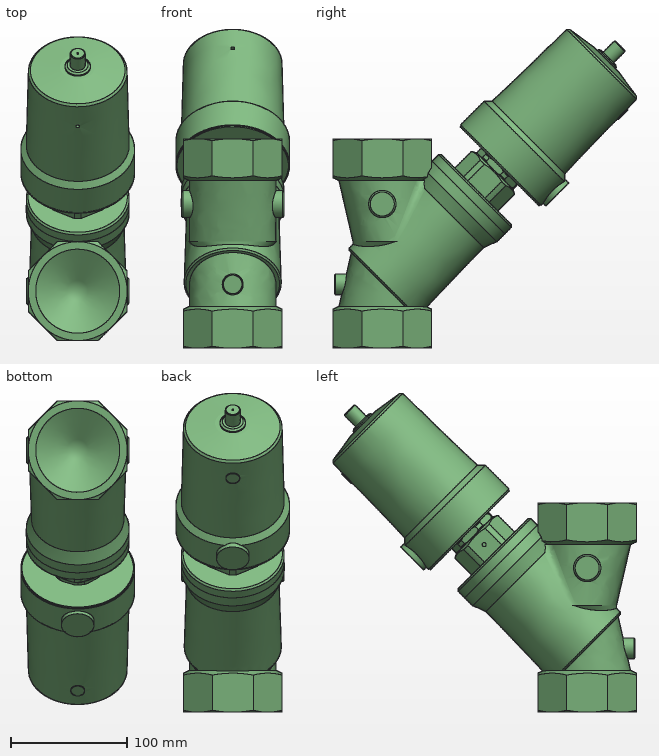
import cadquery as cq
import math


RUN_LENGTH = 180.0
END_FLATS = 85.0
END_CORNER_RADIUS = END_FLATS / 2 / math.cos(math.pi / 8)
NECK_RADIUS = 37.3
NECK_END_Z = 54.0
WAIST_FRONT_REACH = 25.2
WAIST_HALF_DEPTH = (NECK_RADIUS + WAIST_FRONT_REACH) / 2
WAIST_CENTER_Y = NECK_RADIUS - WAIST_HALF_DEPTH
WAIST_Z = 1.5
SKIRT_HEIGHT = 5.0
SKIRT_HALF_WIDTH = 33.0
END_CHAMFER_SLOPE = 0.47
BORE_DIAMETER = 72.23
BORE_DEPTH = 31.0
BORE_TIP_DEPTH = 21.0

SIDE_BOSS_Z = 33.9
SIDE_BOSS_DIAMETER = 23.5
SIDE_BOSS_REACH = 44.2
SIDE_BOSS_CHAMFER = 1.4
FRONT_BOSS_Z = -35.2
FRONT_BOSS_DIAMETER = 18.0
FRONT_BOSS_REACH = 41.2
FRONT_BOSS_CHAMFER = 1.0

BRANCH_TILT = 45.0
BRANCH_Z = -34.5

SEAT_RADIUS = 41.8
SEAT_CHAMFER = 1.5
BRANCH_TOP_RADIUS = 39.8
FLARE_START = 83.5
FLARE_END = 95.0
FLANGE_RADIUS = 44.3
BODY_TOP = 104.7
NECK_FILLET = 6.5

BONNET_FLANGE_TOP = 114.3
BONNET_CHAMFER = 1.6
BONNET_HEX_FLATS = 48.0
BONNET_HEX_RADIUS = 26.2
BONNET_TOP = 136.8
BONNET_HEX_TOP_RADIUS = 22.5
BONNET_HEX_CHAMFER = 2.2
BONNET_HOLE_DIAMETER = 3.5
BONNET_HOLE_DEPTH = 5.0
BONNET_HOLE_HEIGHT = 125.2

LOCK_NUT_FLATS = 41.0
LOCK_NUT_RADIUS = 22.2
LOCK_NUT_CHAMFER = 1.0
LOCK_NUT_TURN = -8.0

BASE_BOTTOM = 142.6
BASE_RADIUS = 48.0
CAP_BOTTOM = 144.0
CAP_RIM_RADIUS = 49.0
CAP_RIM_TOP = 172.7
CAP_WALL_START = 177.7
CAP_WALL_RADIUS = 44.3
CAP_TOP_WALL_RADIUS = 42.5
CAP_EDGE = 266.6
CAP_CONE_RADIUS = 40.7
CAP_CONE_START = 268.5
CAP_FLAT_RADIUS = 15.0
CAP_TOP = 272.4
RIM_PORT_DIAMETER = 28.0
RIM_PORT_REACH = 52.2
RIM_PORT_HEIGHT = 160.5
WALL_PORT_DIAMETER = 12.0
WALL_PORT_REACH = 43.7
WALL_PORT_HEIGHT = 249.0
VENT_DIAMETER = 3.0
VENT_DEPTH = 3.0
VENT_HEIGHT = 243.2

COLLAR_DIAMETER = 22.0
COLLAR_TOP_DIAMETER = 18.0
COLLAR_HEIGHT = 2.5
PIN_DIAMETER = 13.0
PIN_TOP = 289.2
PIN_CHAMFER = 0.7
PIN_DIMPLE_DIAMETER = 1.5
PIN_DIMPLE_DEPTH = 1.0


def turned(*profile):
    """Solid of revolution about the local Z axis from (radius, height) points."""
    points = [*profile, (0, profile[-1][1])]
    if profile[0][0] > 0:
        points.append((0, profile[0][1]))
    return cq.Workplane("XZ").polyline(points).close().revolve(360, (0, 0, 0), (0, 1, 0))


def prism(sides, flats, bottom, top, turn=0.0):
    """Regular prism with flats facing X before it is turned about Z."""
    corners = flats / math.cos(math.pi / sides)
    blank = cq.Workplane("XY").workplane(offset=bottom).polygon(sides, corners).extrude(top - bottom)
    return blank.rotate((0, 0, 0), (0, 0, 1), 180 / sides + turn)


def on_branch(part):
    """Tilt a part drawn along Z onto the branch axis."""
    return part.rotate((0, 0, 0), (1, 0, 0), -BRANCH_TILT).translate((0, 0, BRANCH_Z))


def cross_boss(direction, diameter, height, start, reach):
    """Cylinder along Y, on the side given by the sign of direction."""
    plane = cq.Plane(origin=(0, direction * start, height), xDir=(1, 0, 0), normal=(0, direction, 0))
    return cq.Workplane(plane).circle(diameter / 2).extrude(reach - start)


def run_end():
    """Upper octagonal end with conical chamfers on both faces."""
    run_top = RUN_LENGTH / 2
    lower_rise = (END_CORNER_RADIUS - NECK_RADIUS) * END_CHAMFER_SLOPE
    upper_drop = (END_CORNER_RADIUS - END_FLATS / 2) * END_CHAMFER_SLOPE
    envelope = turned(
        (NECK_RADIUS, NECK_END_Z),
        (END_CORNER_RADIUS, NECK_END_Z + lower_rise),
        (END_CORNER_RADIUS, run_top - upper_drop),
        (END_FLATS / 2, run_top),
    )
    return prism(8, END_FLATS, NECK_END_Z, run_top).intersect(envelope)


def run_neck():
    """Neck that narrows from a round end to an oval waist."""
    return (
        cq.Workplane("XY").workplane(offset=WAIST_Z)
        .center(0, WAIST_CENTER_Y).ellipse(NECK_RADIUS, WAIST_HALF_DEPTH)
        .workplane(offset=NECK_END_Z - WAIST_Z)
        .center(0, -WAIST_CENTER_Y).circle(NECK_RADIUS)
        .loft(combine=True)
    )


def neck_skirt():
    """Short oval taper that carries the overhang of the upper neck down into the branch."""
    return (
        cq.Workplane("XY").workplane(offset=WAIST_Z)
        .center(0, WAIST_CENTER_Y).ellipse(NECK_RADIUS, WAIST_HALF_DEPTH)
        .workplane(offset=-SKIRT_HEIGHT).ellipse(SKIRT_HALF_WIDTH, WAIST_HALF_DEPTH)
        .loft(combine=True)
    )


def bore():
    """Threaded socket of the upper end, closed by a cone."""
    floor = RUN_LENGTH / 2 - BORE_DEPTH
    radius = BORE_DIAMETER / 2
    return turned((0, floor - BORE_TIP_DEPTH), (radius, floor), (radius, RUN_LENGTH / 2))


def make_valve_body():
    barrel = on_branch(turned(
        (SEAT_RADIUS - SEAT_CHAMFER, 0),
        (SEAT_RADIUS, SEAT_CHAMFER),
        (BRANCH_TOP_RADIUS, FLARE_START),
        (BRANCH_TOP_RADIUS, BODY_TOP),
    ))
    flange = on_branch(turned(
        (BRANCH_TOP_RADIUS, FLARE_START),
        (FLANGE_RADIUS, FLARE_END),
        (FLANGE_RADIUS, BODY_TOP),
    ))
    neck_joint = cq.selectors.BoxSelector(
        (-NECK_RADIUS, WAIST_CENTER_Y, WAIST_Z + NECK_FILLET),
        (NECK_RADIUS, NECK_RADIUS, NECK_END_Z - NECK_FILLET),
    )
    body = barrel.union(run_neck()).edges(neck_joint).fillet(NECK_FILLET).union(flange)
    body = body.union(neck_skirt())
    seat_side = on_branch(turned((2 * SEAT_RADIUS, 0), (2 * SEAT_RADIUS, RUN_LENGTH)))
    body = body.union(run_neck().mirror("XY").cut(seat_side))
    body = body.union(run_end()).union(run_end().mirror("XY"))
    side_boss = (
        cq.Workplane("YZ").center(0, SIDE_BOSS_Z).circle(SIDE_BOSS_DIAMETER / 2)
        .extrude(SIDE_BOSS_REACH, both=True)
        .faces("<X or >X").chamfer(SIDE_BOSS_CHAMFER)
    )
    front_boss = cross_boss(-1, FRONT_BOSS_DIAMETER, FRONT_BOSS_Z, 0, FRONT_BOSS_REACH)
    front_boss = front_boss.faces("<Y").chamfer(FRONT_BOSS_CHAMFER)
    body = body.union(side_boss).union(front_boss)
    return body.cut(bore()).cut(bore().mirror("XY"))


def make_bonnet():
    flange = turned(
        (FLANGE_RADIUS, BODY_TOP),
        (FLANGE_RADIUS, BONNET_FLANGE_TOP - BONNET_CHAMFER),
        (FLANGE_RADIUS - BONNET_CHAMFER, BONNET_FLANGE_TOP),
    )
    envelope = turned(
        (BONNET_HEX_RADIUS, BONNET_FLANGE_TOP),
        (BONNET_HEX_RADIUS, BONNET_TOP - BONNET_HEX_CHAMFER),
        (BONNET_HEX_TOP_RADIUS, BONNET_TOP),
    )
    hexagon = prism(6, BONNET_HEX_FLATS, BONNET_FLANGE_TOP, BONNET_TOP).intersect(envelope)
    hole = (
        cq.Workplane("YZ").workplane(offset=-BONNET_HEX_FLATS / 2)
        .center(0, BONNET_HOLE_HEIGHT).circle(BONNET_HOLE_DIAMETER / 2)
        .extrude(BONNET_HOLE_DEPTH)
    )
    return on_branch(flange.union(hexagon).cut(hole))


def make_lock_nut():
    face_radius = LOCK_NUT_RADIUS - LOCK_NUT_CHAMFER
    envelope = turned(
        (face_radius, BONNET_TOP),
        (LOCK_NUT_RADIUS, BONNET_TOP + LOCK_NUT_CHAMFER),
        (LOCK_NUT_RADIUS, BASE_BOTTOM - LOCK_NUT_CHAMFER),
        (face_radius, BASE_BOTTOM),
    )
    nut = prism(6, LOCK_NUT_FLATS, BONNET_TOP, BASE_BOTTOM, LOCK_NUT_TURN)
    return on_branch(nut.intersect(envelope))


def make_actuator_base():
    return on_branch(turned((BASE_RADIUS, BASE_BOTTOM), (BASE_RADIUS, CAP_BOTTOM)))


def make_actuator_cap():
    cap = turned(
        (CAP_RIM_RADIUS, CAP_BOTTOM),
        (CAP_RIM_RADIUS, CAP_RIM_TOP),
        (CAP_WALL_RADIUS, CAP_WALL_START),
        (CAP_TOP_WALL_RADIUS, CAP_EDGE),
        (CAP_CONE_RADIUS, CAP_CONE_START),
        (CAP_FLAT_RADIUS, CAP_TOP),
    )
    cap = cap.union(cross_boss(1, RIM_PORT_DIAMETER, RIM_PORT_HEIGHT, 0, RIM_PORT_REACH))
    cap = cap.union(cross_boss(1, WALL_PORT_DIAMETER, WALL_PORT_HEIGHT, 0, WALL_PORT_REACH))
    vent_floor = CAP_TOP_WALL_RADIUS - VENT_DEPTH
    cap = cap.cut(cross_boss(-1, VENT_DIAMETER, VENT_HEIGHT, vent_floor, CAP_RIM_RADIUS))
    return on_branch(cap)


def make_collar():
    collar = turned(
        (COLLAR_DIAMETER / 2, CAP_TOP),
        (COLLAR_DIAMETER / 2, CAP_TOP + COLLAR_HEIGHT / 2),
        (COLLAR_TOP_DIAMETER / 2, CAP_TOP + COLLAR_HEIGHT),
    )
    return on_branch(collar.faces(">Z").workplane().hole(PIN_DIAMETER))


def make_indicator_pin():
    pin = turned(
        (PIN_DIAMETER / 2, CAP_TOP),
        (PIN_DIAMETER / 2, PIN_TOP - PIN_CHAMFER),
        (PIN_DIAMETER / 2 - PIN_CHAMFER, PIN_TOP),
    )
    return on_branch(pin.faces(">Z").workplane().hole(PIN_DIMPLE_DIAMETER, PIN_DIMPLE_DEPTH))


valve_body = make_valve_body()
bonnet = make_bonnet()
lock_nut = make_lock_nut()
actuator_base = make_actuator_base()
actuator_cap = make_actuator_cap()
collar = make_collar()
indicator_pin = make_indicator_pin()

result = cq.Compound.makeCompound([
    valve_body.val(),
    bonnet.val(),
    lock_nut.val(),
    actuator_base.val(),
    actuator_cap.val(),
    collar.val(),
    indicator_pin.val(),
])